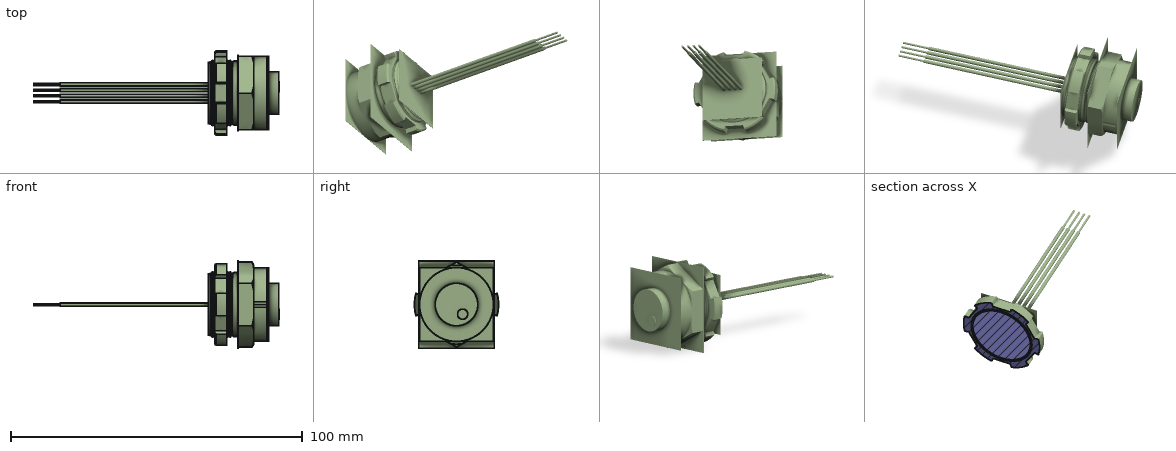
import cadquery as cq
import math


PLATE_THICKNESS = 0.1

HEX_ACROSS_FLATS = 25.3
HEX_LENGTH = 5.4
HEX_CHAMFER_LENGTH = 0.6
HEX_CHAMFER_ANGLE = 30.0
FLANGE_RADIUS = 12.65
FLANGE_LENGTH = 4.5
REAR_FACE_X = -10.2
REAR_FACE_RADIUS = 10.1
SEAT_PLATE_WIDTH = 26.0
SEAT_PLATE_HEIGHT = 30.0
REAR_PLATE_SIDE = 21.0
MARK_WIDTH = 2.0
MARK_DEPTH = 0.3

THREAD_RADIUS = 11.25
THREAD_DEPTH = 0.6
THREAD_PITCH = 1.0
THREAD_END_X = -2.2
THREAD_REAR_CHAMFER = 0.7

SEAL_SECTION_RADIUS = 0.95
SEAL_OUTER_RADIUS = 11.1

NUT_RADIUS = 28.91 / 2
NUT_REAR_X = -7.95
NUT_LENGTH = 4.2
NUT_CHAMFER = 0.5
NUT_BORE_CHAMFER = 0.35
NOTCH_COUNT = 6
NOTCH_FLOOR_RADIUS = 12.5
NOTCH_FLOOR_WIDTH = 6.4
NOTCH_MOUTH_WIDTH = 7.6

CAP_DISC_THICKNESS = 0.6
NOSE_RADIUS = 7.3
NOSE_LENGTH = 3.5
PIP_RADIUS = 1.75
PIP_HEIGHT = 0.25
PIP_Y = 2.1
PIP_Z = -3.3

INSERT_RADIUS = 8.1
INSERT_DEPTH = 6.0
WIRE_COUNT = 4
WIRE_PITCH = 1.95
INSULATION_RADIUS = 0.6
CONDUCTOR_RADIUS = 0.35
CONDUCTOR_LENGTH = 9.1
OVERALL_LENGTH = 84.35

hex_across_corners = HEX_ACROSS_FLATS / math.cos(math.radians(30))
flange_front_x = HEX_LENGTH + FLANGE_LENGTH
cap_front_x = flange_front_x + CAP_DISC_THICKNESS
nose_front_x = cap_front_x + NOSE_LENGTH
wire_tip_x = nose_front_x + PIP_HEIGHT - OVERALL_LENGTH
insulation_end_x = wire_tip_x + CONDUCTOR_LENGTH
seal_center_radius = SEAL_OUTER_RADIUS - SEAL_SECTION_RADIUS
neck_radius = seal_center_radius - SEAL_SECTION_RADIUS


def cylinder(start_x, length, radius, y=0.0, z=0.0):
    return cq.Workplane("YZ", origin=(start_x, y, z)).circle(radius).extrude(length)


def revolve_about_x(points):
    """Turn a closed (x, radius) outline about the X axis."""
    return cq.Workplane("XY").polyline(points).close().revolve(360, (0, 0, 0), (1, 0, 0))


def plate(start_x, width, height):
    """Thin rectangular plate square to X, centred on the axis."""
    return cq.Workplane("YZ", origin=(start_x, 0, 0)).rect(width, height).extrude(PLATE_THICKNESS)


def make_hexagon():
    hexagon = (
        cq.Workplane("YZ")
        .transformed(rotate=(0, 0, 90))
        .polygon(6, hex_across_corners)
        .extrude(HEX_LENGTH)
    )
    corner_radius = hex_across_corners / 2
    drop = HEX_CHAMFER_LENGTH / math.tan(math.radians(HEX_CHAMFER_ANGLE))
    chamfer_envelope = revolve_about_x([
        (0, 0),
        (0, corner_radius),
        (HEX_LENGTH - HEX_CHAMFER_LENGTH, corner_radius),
        (HEX_LENGTH, corner_radius - drop),
        (HEX_LENGTH, 0),
    ])
    return hexagon.intersect(chamfer_envelope)


def make_threaded_shank():
    """Neck under the seal and thread behind it, ending in a chamfered rear face."""
    root_radius = THREAD_RADIUS - THREAD_DEPTH
    outline = [
        (0, 0),
        (0, neck_radius),
        (THREAD_END_X, neck_radius),
        (THREAD_END_X, root_radius),
    ]
    thread_start_x = REAR_FACE_X + THREAD_REAR_CHAMFER
    turns = int((THREAD_END_X - thread_start_x) / THREAD_PITCH)
    for turn in range(turns):
        groove_x = THREAD_END_X - turn * THREAD_PITCH
        outline.append((groove_x - THREAD_PITCH / 2, THREAD_RADIUS))
        outline.append((groove_x - THREAD_PITCH, root_radius))
    outline.append((thread_start_x, root_radius))
    outline.append((REAR_FACE_X, REAR_FACE_RADIUS))
    outline.append((REAR_FACE_X, 0))
    return revolve_about_x(outline)


def make_flange_mark():
    """V groove along the flange at its -Y side."""
    return (
        cq.Workplane("YZ", origin=(HEX_LENGTH, 0, 0))
        .moveTo(-FLANGE_RADIUS + MARK_DEPTH, 0)
        .lineTo(-FLANGE_RADIUS, MARK_WIDTH / 2)
        .lineTo(-FLANGE_RADIUS, -MARK_WIDTH / 2)
        .close()
        .extrude(FLANGE_LENGTH)
    )


def make_housing():
    flange = cylinder(HEX_LENGTH, FLANGE_LENGTH, FLANGE_RADIUS).cut(make_flange_mark())
    insert_bore = cylinder(REAR_FACE_X, INSERT_DEPTH, INSERT_RADIUS)
    seat_plate = plate(0, SEAT_PLATE_WIDTH, SEAT_PLATE_HEIGHT)
    rear_plate = plate(REAR_FACE_X, REAR_PLATE_SIDE, REAR_PLATE_SIDE)
    body = make_hexagon().union(flange).union(make_threaded_shank())
    return body.union(seat_plate).union(rear_plate).cut(insert_bore)


def make_seal():
    return (
        cq.Workplane("XY")
        .center(-SEAL_SECTION_RADIUS, seal_center_radius)
        .circle(SEAL_SECTION_RADIUS)
        .revolve(360, (0, -seal_center_radius, 0), (1, -seal_center_radius, 0))
    )


def make_nut():
    front_x = NUT_REAR_X + NUT_LENGTH
    nut = revolve_about_x([
        (NUT_REAR_X, THREAD_RADIUS + NUT_BORE_CHAMFER),
        (NUT_REAR_X, NUT_RADIUS - NUT_CHAMFER),
        (NUT_REAR_X + NUT_CHAMFER, NUT_RADIUS),
        (front_x, NUT_RADIUS),
        (front_x, THREAD_RADIUS + NUT_BORE_CHAMFER),
        (front_x - NUT_BORE_CHAMFER, THREAD_RADIUS),
        (NUT_REAR_X + NUT_BORE_CHAMFER, THREAD_RADIUS),
    ])
    notch = (
        cq.Workplane("YZ", origin=(NUT_REAR_X, 0, 0))
        .moveTo(-NOTCH_FLOOR_WIDTH / 2, NOTCH_FLOOR_RADIUS)
        .lineTo(NOTCH_FLOOR_WIDTH / 2, NOTCH_FLOOR_RADIUS)
        .lineTo(NOTCH_MOUTH_WIDTH / 2, NUT_RADIUS)
        .lineTo(-NOTCH_MOUTH_WIDTH / 2, NUT_RADIUS)
        .close()
        .extrude(NUT_LENGTH)
    )
    for index in range(NOTCH_COUNT):
        nut = nut.cut(notch.rotate((0, 0, 0), (1, 0, 0), index * 360 / NOTCH_COUNT))
    return nut


def make_front_cap():
    disc = cylinder(flange_front_x, CAP_DISC_THICKNESS, FLANGE_RADIUS)
    face_side = 2 * FLANGE_RADIUS
    face_plate = plate(cap_front_x - PLATE_THICKNESS, face_side, face_side)
    nose = cylinder(cap_front_x, NOSE_LENGTH, NOSE_RADIUS)
    pip = cylinder(nose_front_x, PIP_HEIGHT, PIP_RADIUS, PIP_Y, PIP_Z)
    return disc.union(face_plate).union(nose).union(pip)


def make_wire_insert():
    """Round insert filling the rear bore, with a row of stripped wires leaving it."""
    insert = cylinder(REAR_FACE_X, INSERT_DEPTH, INSERT_RADIUS)
    for index in range(WIRE_COUNT):
        wire_y = (index - (WIRE_COUNT - 1) / 2) * WIRE_PITCH
        insulation = cylinder(insulation_end_x, REAR_FACE_X - insulation_end_x, INSULATION_RADIUS, wire_y)
        conductor = cylinder(wire_tip_x, CONDUCTOR_LENGTH, CONDUCTOR_RADIUS, wire_y)
        insert = insert.union(insulation).union(conductor)
    return insert


housing = make_housing()
seal = make_seal()
nut = make_nut()
front_cap = make_front_cap()
wire_insert = make_wire_insert()

result = cq.Compound.makeCompound([
    housing.val(),
    seal.val(),
    nut.val(),
    front_cap.val(),
    wire_insert.val(),
])